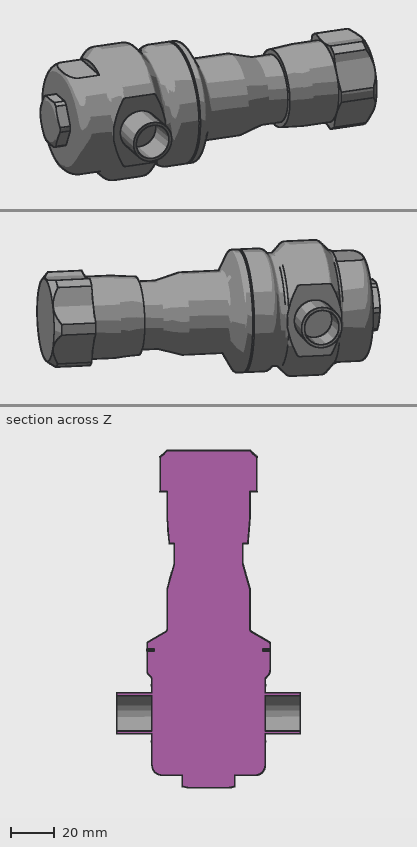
import cadquery as cq
import math


PLUG_TIP = -34.3
BOWL_FACE = PLUG_TIP + 5.7
BODY_HALF_LENGTH = 12.7
NECK_TOP = 16.1
FLANGE_TOP = 32.6
GROOVE_START = 28.7
STEM_TAPER_START = 57.3
STEM_TAPER_END = 68.8
SLEEVE_START = 78.1
SLEEVE_TAPER_END = 89.5
KNOB_START = 102.0
KNOB_END = PLUG_TIP + 155.2

BODY_RADIUS = 62.3 / 2
BOWL_RADIUS = 52.3 / 2
FLANGE_RADIUS = 28.4
GROOVE_RADIUS = 25.2
STEM_RADIUS = 19.1
WAIST_RADIUS = 15.8
SLEEVE_SMALL_RADIUS = 18.2

BODY_CONE_LENGTH = BODY_RADIUS - BOWL_RADIUS
NECK_CONE_LENGTH = FLANGE_RADIUS - BOWL_RADIUS
FLANGE_CONE_LENGTH = (FLANGE_RADIUS - STEM_RADIUS) / math.tan(math.radians(60))
BOWL_ROUND = 4.8
BODY_ROUND = 2.0
NECK_ROUND = 1.4
FLANGE_LOWER_ROUND = 3.3
FLANGE_UPPER_ROUND = 1.1
STEM_FOOT_ROUND = 1.5
GROOVE_WIDTH = 0.8

BOWL_FLATS_WIDTH = 47.5
BOWL_FLATS_TOP = -13.7

PORT_SPAN = 84.5
PORT_RADIUS = 9.5
PORT_BORE_RADIUS = 8.0

PLUG_ACROSS_FLATS = 22.0
PLUG_CORNER_RADIUS = 12.1
PLUG_TIP_RADIUS = 9.6
PLUG_CHAMFER_LENGTH = 0.6

KNOB_CORNER_RADIUS = 22.4
KNOB_FACE_EDGE = 20.5
KNOB_HOLLOW_DEPTH = 1.2
KNOB_END_RADIUS = STEM_RADIUS
KNOB_CHAMFER_LENGTH = 3.0

SIDES = 6


def turned(corners):
    """Revolve a profile about Y. Each corner is (y, radius, rounding); both ends are flat discs."""
    first_y = corners[0][0]
    last_y = corners[-1][0]
    corners = [(first_y, 0, 0), *corners, (last_y, 0, 0)]
    profile = cq.Workplane("XY").moveTo(0, first_y)
    for index, (y, radius, rounding) in enumerate(corners[1:], start=1):
        if rounding == 0:
            profile = profile.lineTo(radius, y)
            continue
        corner = cq.Vector(radius, y, 0)
        before = cq.Vector(corners[index - 1][1], corners[index - 1][0], 0)
        after = cq.Vector(corners[index + 1][1], corners[index + 1][0], 0)
        to_before = (before - corner).normalized()
        to_after = (after - corner).normalized()
        half_angle = to_before.getAngle(to_after) / 2
        tangent_length = rounding / math.tan(half_angle)
        apex_distance = rounding / math.sin(half_angle) - rounding
        arc_start = corner + to_before * tangent_length
        arc_middle = corner + (to_before + to_after).normalized() * apex_distance
        arc_end = corner + to_after * tangent_length
        profile = profile.lineTo(arc_start.x, arc_start.y)
        profile = profile.threePointArc((arc_middle.x, arc_middle.y), (arc_end.x, arc_end.y))
    return profile.close().revolve(360, (0, 0, 0), (0, 1, 0))


def along_y(start):
    """Workplane at Y = start that extrudes toward +Y."""
    return cq.Workplane("XZ", origin=(0, start, 0)).transformed(rotate=(180, 0, 0))


def make_housing():
    """Bowl, valve body, neck, flange, stem and sleeve as one turned solid."""
    return turned([
        (BOWL_FACE, BOWL_RADIUS, BOWL_ROUND),
        (-BODY_HALF_LENGTH, BOWL_RADIUS, BODY_ROUND),
        (-BODY_HALF_LENGTH + BODY_CONE_LENGTH, BODY_RADIUS, BODY_ROUND),
        (BODY_HALF_LENGTH - BODY_CONE_LENGTH, BODY_RADIUS, BODY_ROUND),
        (BODY_HALF_LENGTH, BOWL_RADIUS, BODY_ROUND),
        (NECK_TOP, BOWL_RADIUS, NECK_ROUND),
        (NECK_TOP + NECK_CONE_LENGTH, FLANGE_RADIUS, FLANGE_LOWER_ROUND),
        (GROOVE_START, FLANGE_RADIUS, 0),
        (GROOVE_START, GROOVE_RADIUS, 0),
        (GROOVE_START + GROOVE_WIDTH, GROOVE_RADIUS, 0),
        (GROOVE_START + GROOVE_WIDTH, FLANGE_RADIUS, 0),
        (FLANGE_TOP, FLANGE_RADIUS, FLANGE_UPPER_ROUND),
        (FLANGE_TOP + FLANGE_CONE_LENGTH, STEM_RADIUS, STEM_FOOT_ROUND),
        (STEM_TAPER_START, STEM_RADIUS, 0),
        (STEM_TAPER_END, WAIST_RADIUS, 0),
        (SLEEVE_START, WAIST_RADIUS, 0),
        (SLEEVE_START, SLEEVE_SMALL_RADIUS, 0),
        (SLEEVE_TAPER_END, STEM_RADIUS, 0),
        (KNOB_START, STEM_RADIUS, 0),
    ])


def cut_body_flats(housing):
    """Flatten the valve body on both X sides, where the ports enter."""
    length = 2 * BODY_HALF_LENGTH
    keep_width = 2 * BOWL_RADIUS
    ring = cq.Workplane("XY").box(2 * BODY_RADIUS, length, 2 * BODY_RADIUS)
    core = cq.Workplane("XY").box(keep_width, length, 2 * BODY_RADIUS)
    return housing.cut(ring.cut(core))


def cut_bowl_flats(housing):
    """Mill two spanner flats on the +Z and -Z sides of the bowl."""
    length = BOWL_FLATS_TOP - BOWL_FACE
    depth = BOWL_RADIUS - BOWL_FLATS_WIDTH / 2
    for side in (-1, 1):
        block = cq.Workplane("XY").box(2 * BOWL_RADIUS, length, depth)
        middle_z = side * (BOWL_FLATS_WIDTH + depth) / 2
        housing = housing.cut(block.translate((0, BOWL_FACE + length / 2, middle_z)))
    return housing


def add_ports(housing):
    """Add the two port tubes, each bored down to the body flat."""
    tube_length = PORT_SPAN / 2 - BOWL_RADIUS
    for side in (-1, 1):
        plane = cq.Workplane("YZ", origin=(side * BOWL_RADIUS, 0, 0))
        tube = plane.circle(PORT_RADIUS).circle(PORT_BORE_RADIUS).extrude(side * tube_length)
        housing = housing.union(tube)
    return housing


def make_plug():
    """Hexagonal plug with trimmed corners and a shallow chamfer around its tip."""
    hexagon_diameter = PLUG_ACROSS_FLATS / math.cos(math.pi / SIDES)
    hexagon = along_y(PLUG_TIP).polygon(SIDES, hexagon_diameter).extrude(BOWL_FACE - PLUG_TIP)
    envelope = turned([
        (PLUG_TIP, PLUG_TIP_RADIUS, 0),
        (PLUG_TIP + PLUG_CHAMFER_LENGTH, PLUG_CORNER_RADIUS, 0),
        (BOWL_FACE, PLUG_CORNER_RADIUS, 0),
    ])
    return hexagon.intersect(envelope)


def make_knob():
    """Round knob with a chamfered end and six hollow faces."""
    knob = turned([
        (KNOB_START, KNOB_CORNER_RADIUS, 0),
        (KNOB_END - KNOB_CHAMFER_LENGTH, KNOB_CORNER_RADIUS, 0),
        (KNOB_END, KNOB_END_RADIUS, 0),
    ])
    half_chord = math.sqrt(KNOB_CORNER_RADIUS**2 - KNOB_FACE_EDGE**2)
    hollow_radius = (half_chord**2 + KNOB_HOLLOW_DEPTH**2) / (2 * KNOB_HOLLOW_DEPTH)
    hollow_centre = KNOB_FACE_EDGE - KNOB_HOLLOW_DEPTH + hollow_radius
    cutter = along_y(KNOB_START).center(0, hollow_centre).circle(hollow_radius)
    cutter = cutter.extrude(KNOB_END - KNOB_START)
    for index in range(SIDES):
        angle = index * 360 / SIDES
        knob = knob.cut(cutter.rotate((0, 0, 0), (0, 1, 0), angle))
    return knob


housing = cut_bowl_flats(cut_body_flats(make_housing()))
result = add_ports(housing).union(make_plug()).union(make_knob())